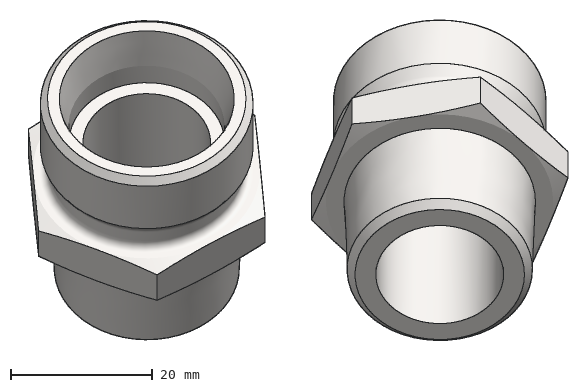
import cadquery as cq
import math

total_height = 39.0
hex_bottom = 16.0
hex_top = 23.0

hex_across_flats = 32.0
hex_across_corners = hex_across_flats / math.cos(math.radians(30))
hex_chamfer_angle = 15.0

stub_top_radius = 13.5
stub_bottom_radius = 13.05
stub_chamfer = 1.15

collar_radius = 30.0 / 2
collar_chamfer = 1.0
collar_bottom = 28.47
undercut_radius = 27.7 / 2
undercut_cone_angle = 30.0
undercut_fillet = 1.2
undercut_slope = math.radians(undercut_cone_angle)
undercut_corner = collar_bottom - (collar_radius - undercut_radius) / math.tan(undercut_slope)

bore_radius = 18.0 / 2
socket_radius = 22.0 / 2
socket_depth = 10.0
mouth_radius = 12.32
mouth_half_angle = 12.0
mouth_depth = (mouth_radius - socket_radius) / math.tan(math.radians(mouth_half_angle))


def make_hexagon():
    """Hexagon with flats facing X, its corners bevelled at both ends."""
    height = hex_top - hex_bottom
    prism = (
        cq.Workplane("XY", origin=(0, 0, hex_bottom))
        .polygon(6, hex_across_corners)
        .extrude(height)
        .rotate((0, 0, 0), (0, 0, 1), 30)
    )
    flat_radius = hex_across_flats / 2
    corner_radius = hex_across_corners / 2
    bevel = (corner_radius - flat_radius) * math.tan(math.radians(hex_chamfer_angle))
    envelope = (
        cq.Workplane("XZ")
        .moveTo(0, hex_bottom)
        .lineTo(flat_radius, hex_bottom)
        .lineTo(corner_radius, hex_bottom + bevel)
        .lineTo(corner_radius, hex_top - bevel)
        .lineTo(flat_radius, hex_top)
        .lineTo(0, hex_top)
        .close()
        .revolve(360, (0, 0), (0, 1))
    )
    return prism.intersect(envelope)


def make_turned_body():
    """Tapered stub, undercut and collar as one revolved outline."""
    tangent = undercut_fillet * math.tan(undercut_slope / 2)
    cone_tangent_point = (
        undercut_radius + tangent * math.sin(undercut_slope),
        undercut_corner + tangent * math.cos(undercut_slope),
    )
    return (
        cq.Workplane("XZ")
        .lineTo(stub_bottom_radius - stub_chamfer, 0)
        .lineTo(stub_bottom_radius, stub_chamfer)
        .lineTo(stub_top_radius, hex_bottom)
        .lineTo(undercut_radius, hex_bottom)
        .lineTo(undercut_radius, hex_top)
        .lineTo(undercut_radius + undercut_fillet, hex_top)
        .radiusArc((undercut_radius, hex_top + undercut_fillet), undercut_fillet)
        .lineTo(undercut_radius, undercut_corner - tangent)
        .radiusArc(cone_tangent_point, undercut_fillet)
        .lineTo(collar_radius, collar_bottom)
        .lineTo(collar_radius, total_height - collar_chamfer)
        .lineTo(collar_radius - collar_chamfer, total_height)
        .lineTo(0, total_height)
        .close()
        .revolve(360, (0, 0), (0, 1))
    )


def make_bore():
    """Through bore opening into a socket and a conical mouth."""
    socket_floor = total_height - socket_depth
    return (
        cq.Workplane("XZ")
        .lineTo(bore_radius, 0)
        .lineTo(bore_radius, socket_floor)
        .lineTo(socket_radius, socket_floor)
        .lineTo(socket_radius, total_height - mouth_depth)
        .lineTo(mouth_radius, total_height)
        .lineTo(0, total_height)
        .close()
        .revolve(360, (0, 0), (0, 1))
    )


result = make_turned_body().union(make_hexagon()).cut(make_bore())